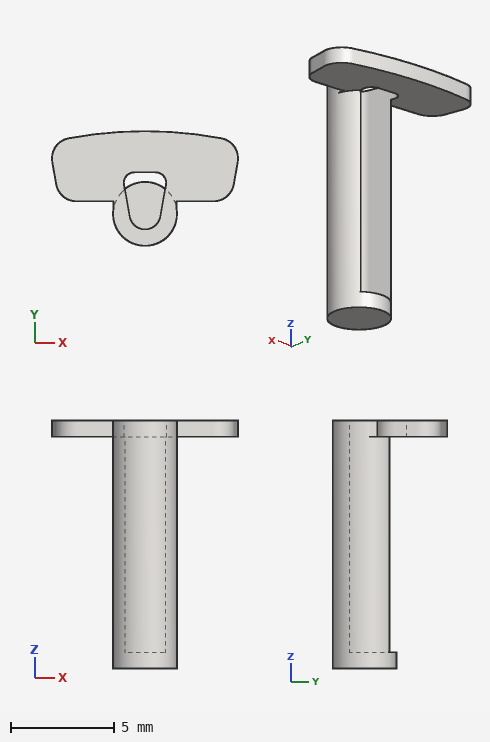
import cadquery as cq
import math

total_height = 12.0
post_radius = 1.55
floor_thickness = 0.8

plate_thickness = 0.8
plate_half_width = 4.5
plate_front_y = 0.6
plate_back_y = 4.0
plate_back_radius = 20.0
plate_corner_radius = 1.0
neck_start_y = 0.25

pocket_nose_radius = 0.75
pocket_back_y = 2.0
pocket_corner_radius = 0.5

side_angle = 10.0
side_slope = math.tan(math.radians(side_angle))


def on_circle(center, radius, angle):
    """Point on a circle at an angle in degrees, counterclockwise from +X."""
    a = math.radians(angle)
    return (center[0] + radius * math.cos(a), center[1] + radius * math.sin(a))


def mirrored(point):
    return (-point[0], point[1])


def arc_from(center, radius, start, end):
    """Middle and end points of a circular arc between two angles."""
    return (
        on_circle(center, radius, (start + end) / 2),
        on_circle(center, radius, end),
    )


def make_post():
    return cq.Workplane("XY").circle(post_radius).extrude(total_height)


def make_plate():
    r = plate_corner_radius

    back_arc_center = (0, plate_back_y - plate_back_radius)
    corner_x = plate_half_width - r
    back_angle = math.degrees(math.acos(corner_x / (plate_back_radius - r)))
    back_corner = on_circle(back_arc_center, plate_back_radius - r, back_angle)

    front_corner_y = plate_front_y + r
    front_corner = (corner_x - (back_corner[1] - front_corner_y) * side_slope, front_corner_y)

    neck_half_width = math.sqrt(post_radius**2 - neck_start_y**2)
    front_mid, front_end = arc_from(front_corner, r, -90, -side_angle)
    back_start = on_circle(back_corner, r, -side_angle)
    back_mid, back_end = arc_from(back_corner, r, -side_angle, back_angle)

    return (
        cq.Workplane("XY", origin=(0, 0, total_height - plate_thickness))
        .moveTo(neck_half_width, neck_start_y)
        .lineTo(neck_half_width, plate_front_y)
        .lineTo(front_corner[0], plate_front_y)
        .threePointArc(front_mid, front_end)
        .lineTo(*back_start)
        .threePointArc(back_mid, back_end)
        .threePointArc((0, plate_back_y), mirrored(back_end))
        .threePointArc(mirrored(back_mid), mirrored(back_start))
        .lineTo(*mirrored(front_end))
        .threePointArc(mirrored(front_mid), (-front_corner[0], plate_front_y))
        .lineTo(-neck_half_width, plate_front_y)
        .lineTo(-neck_half_width, neck_start_y)
        .close()
        .extrude(plate_thickness)
    )


def make_pocket():
    nose_end = on_circle((0, 0), pocket_nose_radius, -side_angle)
    back_half_width = nose_end[0] + (pocket_back_y - nose_end[1]) * side_slope
    return (
        cq.Workplane("XY", origin=(0, 0, floor_thickness))
        .moveTo(*nose_end)
        .lineTo(back_half_width, pocket_back_y)
        .lineTo(-back_half_width, pocket_back_y)
        .lineTo(*mirrored(nose_end))
        .threePointArc((0, -pocket_nose_radius), nose_end)
        .close()
        .extrude(total_height - floor_thickness)
        .edges("|Z and >Y")
        .fillet(pocket_corner_radius)
    )


result = make_post().union(make_plate()).cut(make_pocket())